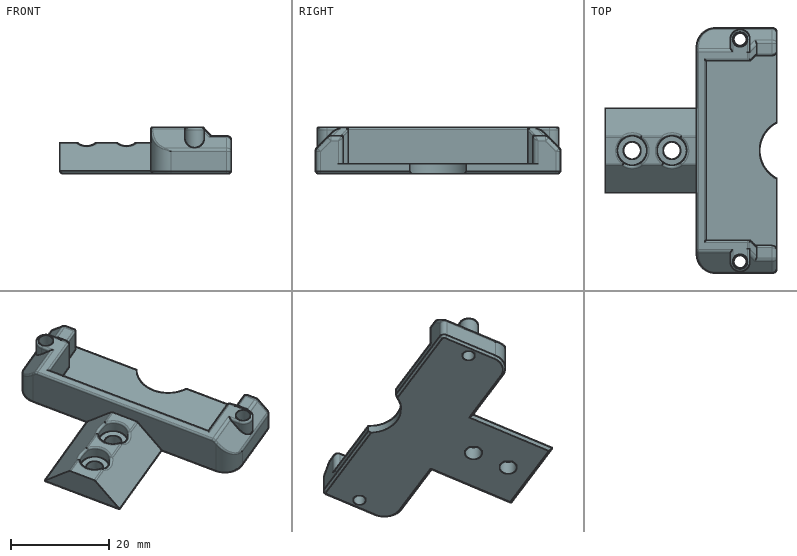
import cadquery as cq
LENGTH_X = 35.0
WIDTH_Y = 50.0
HEIGHT_Z = 9.5
BODY_LEFT = 18.6
CORNER_RADIUS = 4.0
END_WALL_HEIGHT = 5.0
SLOPE_FILLET = 1.0
OPEN_SIDE_FILLET = 1.0
LEFT_RIM_FILLET = 0.4
BOTTOM_CHAMFER = 0.5

STEP_Z = 7.75
INCLINE_TOP_X = 29.15

FLOOR_Z = 2.1
WALL = 2.0
POCKET_HALF_Y = 18.25
POCKET_MOUTH_HALF_Y = 19.35
POCKET_FILLET = 0.4

BOSS_X = 27.5
BOSS_Y = 22.65
BOSS_RADIUS = 2.0
BOSS_FILLET = 0.5
BOSS_BORE_DIAMETER = 3.0
BOSS_BORE_FLOOR_Z = 5.0
BOSS_HOLE_DIAMETER = 2.55

NOTCH_RADIUS = 6.4
NOTCH_DEPTH = 3.5

TONGUE_HEIGHT = 6.35
TONGUE_TOP_HALF_Y = 2.9
TONGUE_BOTTOM_HALF_Y = 8.0
TONGUE_FILLET = 0.5
SCREW_X = (5.5, 13.6)
SCREW_DIAMETER = 3.5
COUNTERBORE_DIAMETER = 6.0
COUNTERBORE_FLOOR_Z = 3.6
COUNTERBORE_FILLET = 0.4

MARGIN = 0.05

half_y = WIDTH_Y / 2
slope_top_y = half_y - (HEIGHT_Z - END_WALL_HEIGHT)
step_x = INCLINE_TOP_X + HEIGHT_Z - STEP_Z
boss_right = BOSS_X + BOSS_RADIUS
pocket_left = BODY_LEFT + WALL
tongue_edge_z = (TONGUE_TOP_HALF_Y + TONGUE_HEIGHT - TONGUE_BOTTOM_HALF_Y) / 2
tongue_edge_y = TONGUE_BOTTOM_HALF_Y + tongue_edge_z


def edges_within(solid, x_range, y_reach, z_range):
    """Edges whose centres lie in a box that is symmetric about Y = 0."""
    low = (x_range[0] - MARGIN, -y_reach - MARGIN, z_range[0] - MARGIN)
    high = (x_range[1] + MARGIN, y_reach + MARGIN, z_range[1] + MARGIN)
    return solid.edges(cq.selectors.BoxSelector(low, high))


def cylinder(x, y, diameter, bottom_z=0.0):
    """Upright cylinder reaching from bottom_z past the top of the part."""
    return cq.Workplane("XY", origin=(x, y, bottom_z)).circle(diameter / 2).extrude(HEIGHT_Z)


def make_block():
    """Body without pocket: sloped ends, step and rounded left corners."""
    right_half = [(half_y, 0), (half_y, END_WALL_HEIGHT), (slope_top_y, HEIGHT_Z)]
    left_half = [(-y, z) for y, z in reversed(right_half)]
    sloped = (
        cq.Workplane("YZ", origin=(BODY_LEFT, 0, 0))
        .polyline(right_half + left_half).close()
        .extrude(LENGTH_X - BODY_LEFT)
    )
    step = (
        cq.Workplane("XZ")
        .polyline([
            (INCLINE_TOP_X, HEIGHT_Z), (step_x, STEP_Z), (LENGTH_X, STEP_Z), (LENGTH_X, HEIGHT_Z),
        ])
        .close().extrude(half_y, both=True)
    )
    sloped = sloped.cut(step)
    slope_edges = edges_within(sloped, (BODY_LEFT, LENGTH_X), half_y, (END_WALL_HEIGHT, HEIGHT_Z))
    sloped = slope_edges.edges("not #X").fillet(SLOPE_FILLET)

    outline = (
        cq.Workplane("XY", origin=(BODY_LEFT, 0, 0))
        .box(LENGTH_X - BODY_LEFT, WIDTH_Y, HEIGHT_Z, centered=(False, True, False))
        .edges("|Z and <X").fillet(CORNER_RADIUS)
    )
    block = sloped.intersect(outline)
    left_rim = edges_within(
        block,
        (BODY_LEFT, BODY_LEFT + CORNER_RADIUS - MARGIN),
        half_y,
        (END_WALL_HEIGHT - SLOPE_FILLET, HEIGHT_Z),
    )
    return left_rim.edges("not |Z").edges("not |X").fillet(LEFT_RIM_FILLET)


def make_pocket():
    """Space inside the tray, widening at 45 degrees towards the open side."""
    widening = POCKET_MOUTH_HALF_Y - POCKET_HALF_Y
    far_half = [
        (pocket_left, POCKET_HALF_Y), (boss_right, POCKET_HALF_Y),
        (boss_right + widening, POCKET_MOUTH_HALF_Y), (LENGTH_X, POCKET_MOUTH_HALF_Y),
    ]
    near_half = [(x, -y) for x, y in reversed(far_half)]
    pocket = (
        cq.Workplane("XY", origin=(0, 0, FLOOR_Z))
        .polyline(far_half + near_half).close().extrude(HEIGHT_Z)
    )
    corners = edges_within(pocket, (boss_right, boss_right), POCKET_HALF_Y, (FLOOR_Z, FLOOR_Z + HEIGHT_Z))
    return corners.edges("|Z").fillet(POCKET_FILLET)


def make_tray():
    """Block with pocket, rounded open side and rounded pocket rim."""
    tray = make_block().cut(make_pocket())
    open_side = edges_within(tray, (LENGTH_X, LENGTH_X), half_y, (FLOOR_Z + 2 * MARGIN, HEIGHT_Z))
    tray = open_side.fillet(OPEN_SIDE_FILLET)
    tray = tray.faces("<Z").chamfer(BOTTOM_CHAMFER)
    rim = edges_within(
        tray,
        (pocket_left, LENGTH_X - OPEN_SIDE_FILLET / 2),
        POCKET_MOUTH_HALF_Y,
        (STEP_Z, HEIGHT_Z),
    )
    return rim.edges("not |Z").fillet(POCKET_FILLET)


def make_boss():
    """Slot-shaped upright boss on the +Y end, running back into the end block."""
    root_y = slope_top_y - SLOPE_FILLET / 2
    return (
        cq.Workplane("XY", origin=(BOSS_X, 0, FLOOR_Z))
        .moveTo(-BOSS_RADIUS, root_y)
        .lineTo(-BOSS_RADIUS, BOSS_Y)
        .threePointArc((0, BOSS_Y + BOSS_RADIUS), (BOSS_RADIUS, BOSS_Y))
        .lineTo(BOSS_RADIUS, root_y)
        .close()
        .extrude(HEIGHT_Z - FLOOR_Z)
        .faces(">Z").edges("not <Y").fillet(BOSS_FILLET)
    )


def make_tongue():
    """Trapezoidal tongue with two counterbored screw holes."""
    right_half = [
        (TONGUE_BOTTOM_HALF_Y, 0), (tongue_edge_y, tongue_edge_z), (TONGUE_TOP_HALF_Y, TONGUE_HEIGHT),
    ]
    left_half = [(-y, z) for y, z in reversed(right_half)]
    tongue = (
        cq.Workplane("YZ")
        .polyline(right_half + left_half).close()
        .extrude(pocket_left)
        .edges("|X and >Z").fillet(TONGUE_FILLET)
        .edges("<X and <Z").chamfer(BOTTOM_CHAMFER)
    )
    for x in SCREW_X:
        tongue = tongue.cut(cylinder(x, 0, COUNTERBORE_DIAMETER, COUNTERBORE_FLOOR_Z))
    counterbore_rims = edges_within(
        tongue,
        (SCREW_X[0] - COUNTERBORE_DIAMETER / 2, SCREW_X[1] + COUNTERBORE_DIAMETER / 2),
        COUNTERBORE_DIAMETER / 2,
        (TONGUE_HEIGHT - TONGUE_FILLET, TONGUE_HEIGHT),
    )
    tongue = counterbore_rims.edges("not |X").fillet(COUNTERBORE_FILLET)
    for x in SCREW_X:
        tongue = tongue.cut(cylinder(x, 0, SCREW_DIAMETER))
    return tongue


far_boss = make_boss()
result = make_tray().union(make_tongue()).union(far_boss).union(far_boss.mirror("XZ"))
for hole_y in (-BOSS_Y, BOSS_Y):
    result = result.cut(cylinder(BOSS_X, hole_y, BOSS_HOLE_DIAMETER))
    result = result.cut(cylinder(BOSS_X, hole_y, BOSS_BORE_DIAMETER, BOSS_BORE_FLOOR_Z))
notch_x = LENGTH_X - NOTCH_DEPTH + NOTCH_RADIUS
result = result.cut(cylinder(notch_x, 0, 2 * NOTCH_RADIUS))